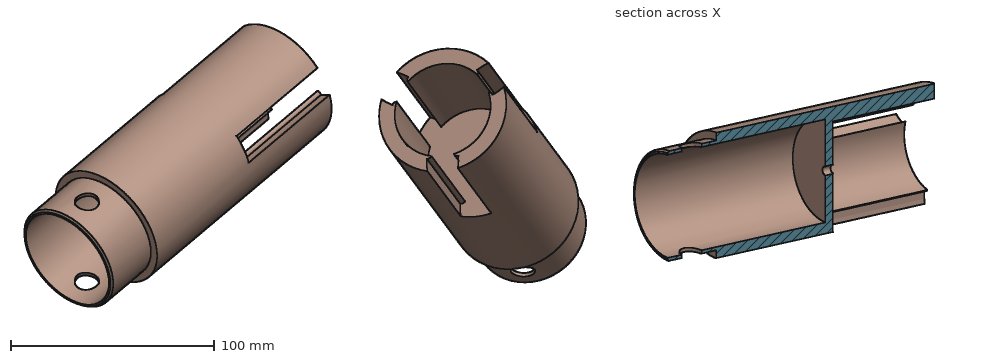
import cadquery as cq

length = 165.0
body_diameter = 65.0
spigot_diameter = 57.0
spigot_length = 30.0
spigot_chamfer = 1.0

front_bore_diameter = 53.0
rear_bore_diameter = 49.0
web_thickness = 5.0
web_hole_diameter = 4.5

pin_hole_diameter = 12.0
pin_hole_from_end = 15.0

slot_count = 3
slot_inner_half_width = 5.6
slot_wall_half_width = 8.1
slot_outer_half_width = 7.8
slot_inner_radius = 23.8
slot_corner_radius = 2.3
slot_wall_inner_radius = 24.9
slot_wall_outer_radius = 29.0
slot_outer_radius = 31.5
slot_length = 62.5

slot_start = length - slot_length
web_rear = slot_start
web_front = web_rear - web_thickness


def rod(diameter, start, end):
    """Cylinder on the sleeve axis between two positions along Y."""
    plane = cq.Workplane("XZ", origin=(0, start, 0))
    return plane.circle(diameter / 2).extrude(start - end)


def sleeve():
    spigot = rod(spigot_diameter, 0, spigot_length).faces("<Y").chamfer(spigot_chamfer)
    return spigot.union(rod(body_diameter, spigot_length, length))


def slot(angle):
    """Undercut slot through the wall; zero angle points straight down."""
    plane = cq.Workplane("XZ", origin=(0, slot_start, 0))
    cutter = (
        plane.moveTo(-slot_inner_half_width, 0)
        .lineTo(slot_inner_half_width, 0)
        .lineTo(slot_inner_half_width, -slot_inner_radius)
        .radiusArc((slot_wall_half_width, -slot_wall_inner_radius), -slot_corner_radius)
        .lineTo(slot_wall_half_width, -slot_wall_outer_radius)
        .lineTo(slot_outer_half_width, -slot_outer_radius)
        .lineTo(slot_outer_half_width, -body_diameter)
        .lineTo(-slot_outer_half_width, -body_diameter)
        .lineTo(-slot_outer_half_width, -slot_outer_radius)
        .lineTo(-slot_wall_half_width, -slot_wall_outer_radius)
        .lineTo(-slot_wall_half_width, -slot_wall_inner_radius)
        .radiusArc((-slot_inner_half_width, -slot_inner_radius), -slot_corner_radius)
        .close()
        .extrude(-slot_length)
    )
    return cutter.rotate((0, 0, 0), (0, 1, 0), angle)


def pin_hole():
    plane = cq.Workplane("XY").center(0, pin_hole_from_end)
    return plane.circle(pin_hole_diameter / 2).extrude(body_diameter, both=True)


result = sleeve()
result = result.cut(rod(front_bore_diameter, 0, web_front))
result = result.cut(rod(rear_bore_diameter, web_rear, length))
result = result.cut(rod(web_hole_diameter, web_front, web_rear))
result = result.cut(pin_hole())
for index in range(slot_count):
    result = result.cut(slot(index * 360 / slot_count))